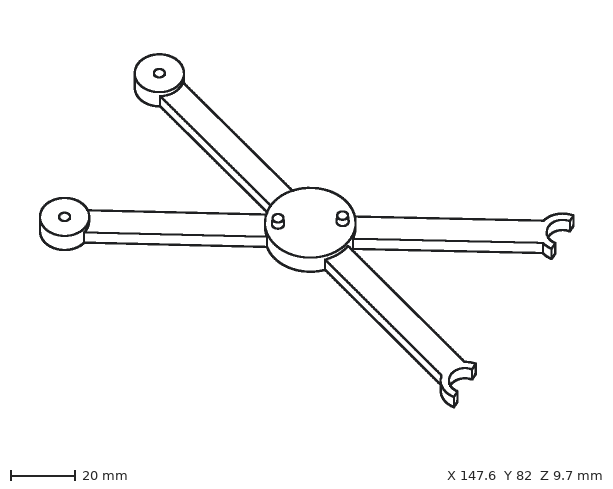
import cadquery as cq
import math

arm_height = 5.0
disc_height = 7.0
overall_height = 9.7

arm_width = 9.0
hub_diameter = 28.2

pad_diameter = 15.3
pad_hole_diameter = 3.4
pad_x = -69.0
pad_y = 32.5

overall_length = 147.6
overall_width = 82.0
fork_outer_diameter = 15.0
fork_inner_diameter = 9.9
fork_x = pad_x - pad_diameter / 2 + overall_length
fork_y = (overall_width - fork_outer_diameter) / 2

pin_tip_diameter = 3.4
pin_base_diameter = 3.8
pin_circle_radius = 10.0
pin_angle = 30.0


def cylinder(x, y, diameter, height):
    """Upright cylinder standing on the underside plane."""
    return cq.Workplane("XY").center(x, y).circle(diameter / 2).extrude(height)


def arm(x, y):
    """Straight bar from the hub centre to the point (x, y)."""
    length = math.hypot(x, y)
    angle = math.degrees(math.atan2(y, x))
    bar = cq.Workplane("XY").box(length, arm_width, arm_height, centered=(False, True, False))
    return bar.rotate((0, 0, 0), (0, 0, 1), angle)


def pad_arm(side):
    """Arm ending in a raised pad with a through hole."""
    y = side * pad_y
    pad = cylinder(pad_x, y, pad_diameter, disc_height)
    hole = cylinder(pad_x, y, pad_hole_diameter, disc_height)
    return arm(pad_x, y).union(pad).cut(hole)


def fork_arm(side):
    """Arm ending in a half-ring that opens toward +X."""
    y = side * fork_y
    ring = cylinder(fork_x, y, fork_outer_diameter, arm_height)
    opening = cylinder(fork_x, y, fork_inner_diameter, arm_height)
    beyond_end = (
        cq.Workplane("XY")
        .center(fork_x, y)
        .rect(fork_outer_diameter, 2 * fork_outer_diameter)
        .extrude(arm_height)
        .translate((fork_outer_diameter / 2, 0, 0))
    )
    return arm(fork_x, y).union(ring).cut(opening).cut(beyond_end)


def pin(side):
    """Pin rising from the hub; the two sides are diametrically opposite."""
    x = side * pin_circle_radius * math.cos(math.radians(pin_angle))
    y = side * pin_circle_radius * math.sin(math.radians(pin_angle))
    return (
        cq.Workplane("XY", origin=(x, y, disc_height))
        .circle(pin_base_diameter / 2)
        .workplane(offset=overall_height - disc_height)
        .circle(pin_tip_diameter / 2)
        .loft()
    )


result = cylinder(0, 0, hub_diameter, disc_height)
for side in (-1, 1):
    result = result.union(pad_arm(side)).union(fork_arm(side)).union(pin(side))